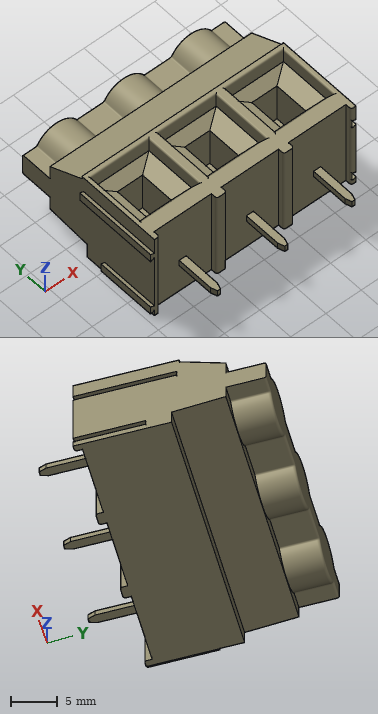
import cadquery as cq


overall_length = 29.1
pole_count = 3
pitch = 9.52
body_length = pole_count * pitch
body_height = 12.5
pole_centers = [pitch * (i + 0.5) for i in range(pole_count)]

ledge_y = 10.95
crest_y = 11.8
neck_y = 16.97
back_y = 21.45
crest_z = 12.1
neck_top_z = 9.52
neck_bottom_z = 2.55
ledge_z = 2.07

barrel_radius = 3.23
barrel_z = 6.03
web_thickness = 3.05
web_fillet = 0.25
back_edge_fillet = 0.32

entry_half_width = 4.1
entry_front_y = 2.8
entry_back_y = 11.05
entry_wall_depth = 1.95
entry_rim_fillet = 0.23
well_half_width = 1.78
well_front_y = 4.77
well_back_y = 9.43
funnel_bottom_depth = 2.75
well_floor_z = 4.37

foot_height = 0.87
foot_width = 1.4
foot_fillet = 0.32

pin_width = 1.0
pin_thickness = 0.87
pin_length = 5.05
pin_taper_length = 0.85
pin_tip_width = 0.45
pin_z = 4.6

dovetail_depth = overall_length - body_length
dovetail_neck_width = 0.75
dovetail_wide_width = 1.15
dovetails = [(9.87, 11.5), (1.25, 8.05)]

pick_margin = 0.15


def box(x0, x1, y0, y1, z0, z1):
    return cq.Workplane("XY").box(x1 - x0, y1 - y0, z1 - z0, centered=False).translate((x0, y0, z0))


def make_body():
    profile = [
        (0, 0),
        (ledge_y, 0),
        (ledge_y, ledge_z),
        (neck_y, neck_bottom_z),
        (neck_y, neck_top_z),
        (crest_y, crest_z),
        (crest_y, body_height),
        (0, body_height),
    ]
    return cq.Workplane("YZ").polyline(profile).close().extrude(body_length)


def make_barrels():
    depth = back_y - neck_y
    half_web = web_thickness / 2
    barrels = box(0, body_length, neck_y, back_y, barrel_z - half_web, barrel_z + half_web)
    for x in pole_centers:
        barrel = (
            cq.Workplane("XZ", origin=(x, back_y, barrel_z))
            .circle(barrel_radius)
            .extrude(depth)
        )
        barrels = barrels.union(barrel)
    corner_reach = (barrel_radius**2 - half_web**2) ** 0.5
    for x in pole_centers:
        for side in (-1, 1):
            corner_x = x + side * corner_reach
            near_corner = cq.selectors.BoxSelector(
                (corner_x - pick_margin, neck_y, 0), (corner_x + pick_margin, back_y, body_height)
            )
            barrels = barrels.edges("|Y").edges(near_corner).fillet(web_fillet)
    return barrels.faces(">Y").edges("not |Z").fillet(back_edge_fillet)


def cut_seating_recesses(body):
    half_recess = (pitch - foot_width) / 2
    for x in pole_centers:
        recess = box(x - half_recess, x + half_recess, 0, foot_height, 0, body_height)
        body = body.cut(recess)
    inner_edges = cq.selectors.BoxSelector(
        (pick_margin, -pick_margin, 0), (body_length - pick_margin, pick_margin, body_height)
    )
    return body.edges("|Z").edges(inner_edges).fillet(foot_fillet)


def cut_wire_entry(body, x):
    wall_z = body_height - entry_wall_depth
    funnel_z = body_height - funnel_bottom_depth
    front_slope = (well_front_y - entry_front_y) / funnel_bottom_depth
    funnel_front_y = entry_front_y + front_slope * entry_wall_depth

    opening_profile = [
        (entry_front_y, body_height),
        (entry_back_y, body_height),
        (entry_back_y, wall_z),
        (funnel_front_y, wall_z),
    ]
    opening = (
        cq.Workplane("YZ", origin=(x - entry_half_width, 0, 0))
        .polyline(opening_profile)
        .close()
        .extrude(2 * entry_half_width)
    )
    funnel_center_y = (funnel_front_y + entry_back_y) / 2
    well_center_y = (well_front_y + well_back_y) / 2
    well_length = well_back_y - well_front_y
    funnel = (
        cq.Workplane("XY", origin=(x, funnel_center_y, wall_z))
        .rect(2 * entry_half_width, entry_back_y - funnel_front_y)
        .workplane(offset=funnel_z - wall_z)
        .center(0, well_center_y - funnel_center_y)
        .rect(2 * well_half_width, well_length)
        .loft(ruled=True)
    )
    well = box(
        x - well_half_width, x + well_half_width, well_front_y, well_back_y, well_floor_z, funnel_z
    )
    body = body.cut(opening).cut(funnel).cut(well)
    rim = cq.selectors.BoxSelector(
        (x - entry_half_width - pick_margin, entry_front_y - pick_margin, body_height - pick_margin),
        (x + entry_half_width + pick_margin, entry_back_y + pick_margin, body_height + pick_margin),
    )
    return body.edges(rim).fillet(entry_rim_fillet)


def make_pin(x):
    half_width = pin_width / 2
    half_tip = pin_tip_width / 2
    taper_y = pin_taper_length - pin_length
    outline = [
        (-half_width, foot_height),
        (-half_width, taper_y),
        (-half_tip, -pin_length),
        (half_tip, -pin_length),
        (half_width, taper_y),
        (half_width, foot_height),
    ]
    return (
        cq.Workplane("XY", origin=(x, 0, pin_z - pin_thickness / 2))
        .polyline(outline)
        .close()
        .extrude(pin_thickness)
    )


def make_dovetail(wall_x, z, length):
    """Dovetail bar on the plane X = wall_x, widening toward -X."""
    half_neck = dovetail_neck_width / 2
    half_wide = dovetail_wide_width / 2
    section = [
        (0, -half_neck),
        (0, half_neck),
        (-dovetail_depth, half_wide),
        (-dovetail_depth, -half_wide),
    ]
    return (
        cq.Workplane("XZ", origin=(wall_x, 0, z))
        .polyline(section)
        .close()
        .extrude(-length)
    )


result = cut_seating_recesses(make_body())
for center in pole_centers:
    result = cut_wire_entry(result, center)
result = result.union(make_barrels())
for center in pole_centers:
    result = result.union(make_pin(center))
for dovetail_z, dovetail_length in dovetails:
    result = result.union(make_dovetail(0, dovetail_z, dovetail_length))
    result = result.cut(make_dovetail(body_length, dovetail_z, dovetail_length))